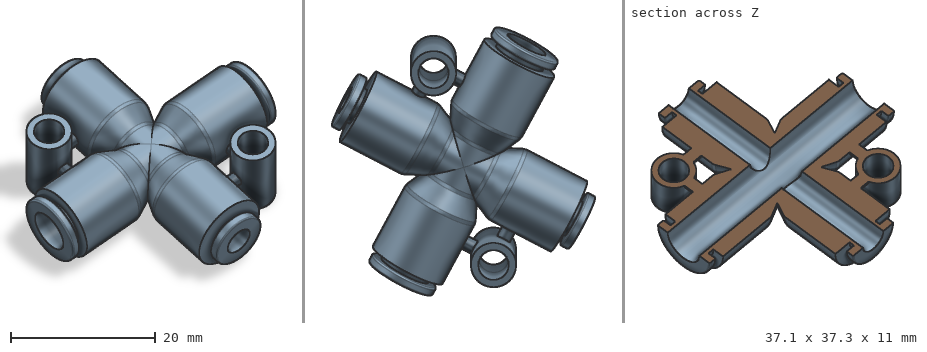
import cadquery as cq

body_diameter = 11.0
body_radius = body_diameter / 2
body_end = 16.5
waist_radius = 4.0
waist_half_length = 3.47
shoulder_start = 6.75
shoulder_blend = 1.3

flange_thickness = 1.25

x_overall_length = 37.05
x_end = x_overall_length / 2
x_bore_radius = 2.0
x_stem_radius = 2.65
x_flange_radius = 4.1
x_rim_round = 0.2

y_overall_length = 37.3
y_end = y_overall_length / 2
y_bore_radius = 3.0
y_stem_radius = 3.65
y_flange_radius = 5.0
y_rim_round = 0.25

sleeve_offset = 10.0
sleeve_outer_radius = 3.15
sleeve_bore_radius = 2.1
pin_diameter = 1.98
pin_radius = pin_diameter / 2


def rod(axis, radius, start, end):
    """Cylinder along an axis through the centre, between two distances from the centre."""
    direction = cq.Vector(*axis)
    return cq.Workplane(cq.Solid.makeCylinder(radius, end - start, direction * start, direction))


def barrel():
    """Barrel along X, coned down to a slimmer waist at the middle."""
    profile = [
        (-body_end, 0),
        (-body_end, body_radius),
        (-shoulder_start, body_radius),
        (-waist_half_length, waist_radius),
        (waist_half_length, waist_radius),
        (shoulder_start, body_radius),
        (body_end, body_radius),
        (body_end, 0),
    ]
    solid = cq.Workplane("XY").polyline(profile).close().revolve(360, (0, 0, 0), (1, 0, 0))

    half_box = cq.Vector((shoulder_start + body_end) / 2, body_diameter, body_diameter)
    cone_edges = cq.selectors.BoxSelector((-half_box).toTuple(), half_box.toTuple(), boundingbox=True)
    return solid.edges("%CIRCLE").edges(cone_edges).fillet(shoulder_blend)


def collar(axis, stem_radius, flange_radius, rim_round, end):
    """Stem and flange projecting from one end of a barrel."""
    flange_start = end - flange_thickness
    stem = rod(axis, stem_radius, 0, end - flange_thickness / 2)
    flange = rod(axis, flange_radius, flange_start, end).edges("%CIRCLE").fillet(rim_round)
    return stem.union(flange)


def sleeve(side):
    """Upright sleeve with two pins, in the corner where X and Y both have the given sign."""
    offset = side * sleeve_offset
    centre = cq.Workplane("XY").center(offset, offset)
    tube = centre.circle(sleeve_outer_radius).extrude(body_radius, both=True)
    hole = centre.circle(sleeve_bore_radius).extrude(body_radius, both=True)
    pin_to_y_barrel = rod((side, 0, 0), pin_radius, 0, sleeve_offset).translate((0, offset, 0))
    pin_to_x_barrel = rod((0, side, 0), pin_radius, 0, sleeve_offset).translate((offset, 0, 0))
    return tube.union(pin_to_y_barrel).union(pin_to_x_barrel).cut(hole)


x_barrel = barrel()
y_barrel = x_barrel.rotate((0, 0, 0), (0, 0, 1), 90)
result = x_barrel.union(y_barrel)

for sign in (-1, 1):
    result = result.union(collar((sign, 0, 0), x_stem_radius, x_flange_radius, x_rim_round, x_end))
    result = result.union(collar((0, sign, 0), y_stem_radius, y_flange_radius, y_rim_round, y_end))
    result = result.union(sleeve(sign))

result = result.cut(rod((1, 0, 0), x_bore_radius, -x_end, x_end))
result = result.cut(rod((0, 1, 0), y_bore_radius, -y_end, y_end))